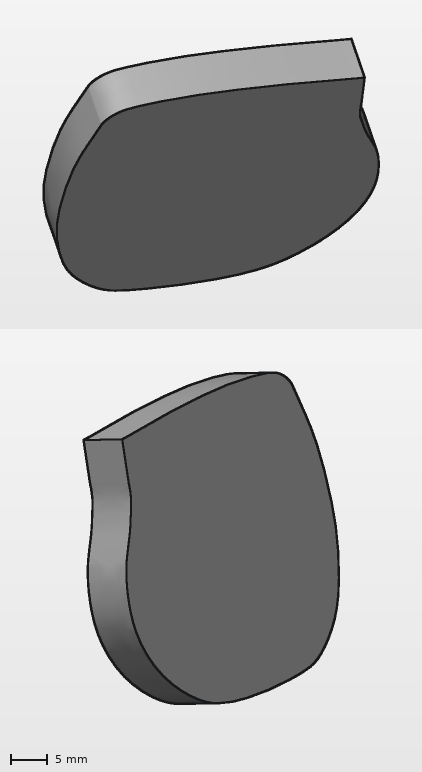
import cadquery as cq

thickness = 6.9
lean_along_y = 0.098
lean_along_z = 0.161

tip = (20.15, 18.45)
rim_start = (18.7, 18.7)
notch_end = (19.95, 12.25)
notch_middle = (19.85, 10.35)
shoulder = (20.25, 8.35)

top_curve = [(10.7, 20.1), (3.3, 21.15), (-6.85, 21.95), (-12.05, 21.9), (-15.2, 21.2), (-17.25, 19.25)]
narrow_side = [(-20.35, 12.0), (-22.1, 4.5), (-22.65, -1.1), (-22.2, -7.15), (-20.1, -13.52), (-16.0, -17.95)]
corner_direction = (-0.4, -0.92)
bottom_seam = (-9.0, -20.13)
seam_direction = (0.98, -0.16)
bottom_curve = [(-0.35, -20.95), (4.45, -20.9), (8.55, -20.2), (13.5, -18.05)]
rounded_side = [(19.85, -12.55), (22.53, -7.3), (23.1, -3.55), (22.65, 1.2)]

rim_direction = (rim_start[0] - tip[0], rim_start[1] - tip[1])
shoulder_direction = (notch_middle[0] - shoulder[0], notch_middle[1] - shoulder[1])

face_plane = cq.Plane(
    origin=(0, 0, 0),
    xDir=(lean_along_y, 1, 0),
    normal=(1, -lean_along_y, -lean_along_z),
)

result = (
    cq.Workplane(face_plane)
    .moveTo(*tip)
    .lineTo(*rim_start)
    .spline(top_curve, tangents=[rim_direction, corner_direction], includeCurrent=True)
    .spline(narrow_side + [bottom_seam], tangents=[corner_direction, seam_direction], includeCurrent=True)
    .spline(
        bottom_curve + rounded_side + [shoulder],
        tangents=[seam_direction, shoulder_direction],
        includeCurrent=True,
    )
    .spline([notch_middle, notch_end], includeCurrent=True)
    .close()
    .extrude(thickness)
)